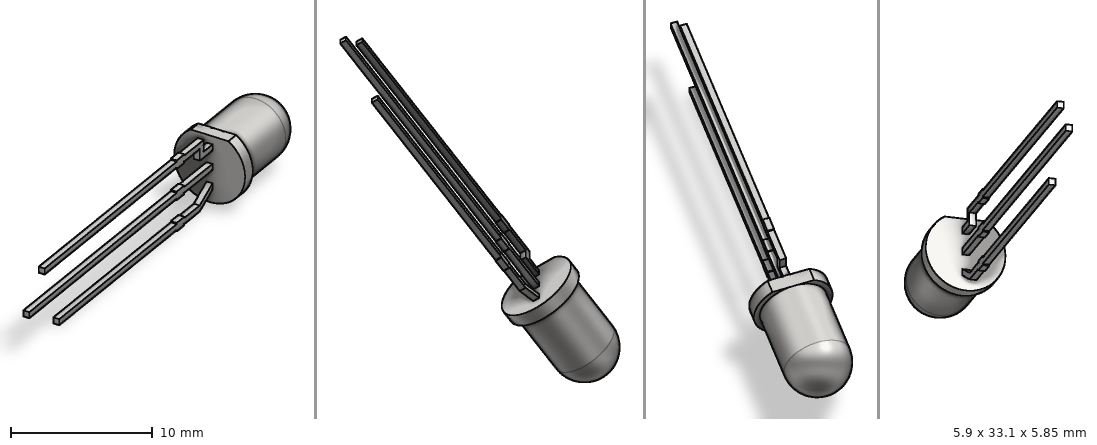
import cadquery as cq


lens_diameter = 5.0
lens_radius = lens_diameter / 2
flange_radius = 2.95
flange_thickness = 1.03
overall_length = 33.1
body_length = 8.6
dome_start = body_length - lens_radius

lead_size = 0.5
lead_pitch = 2.55
root_offset = 1.6
middle_lead_length = overall_length - body_length
upper_lead_length = 22.45
lower_lead_length = 20.5
crank_end = 1.7
bend_end = 1.72

swell_start = 3.77
swell_length = 1.03
swell_height = 0.7


def make_body():
    """Domed lens turned about Y, with a flange flattened level with the top of the lens."""
    lens = (
        cq.Workplane("XY")
        .lineTo(lens_radius, 0)
        .lineTo(lens_radius, dome_start)
        .radiusArc((0, body_length), -lens_radius)
        .close()
        .revolve(360, (0, 0, 0), (0, 1, 0))
    )
    flange = cq.Workplane("XZ").circle(flange_radius).extrude(-flange_thickness)
    flange_trim = cq.Workplane("XY").box(
        2 * flange_radius, flange_thickness, flange_radius, centered=(True, False, False)
    ).translate((0, 0, lens_radius))
    return lens.union(flange.cut(flange_trim))


def lead_bar(start, end, height, depth=lead_size):
    """Straight bar along -Y between two distances from the flange, centred on a height along Z."""
    return cq.Workplane("XY").box(lead_size, end - start, depth).translate(
        (0, -(start + end) / 2, height)
    )


def straight_lead(start, end, height):
    """Straight stretch of a lead together with its swell."""
    swell = lead_bar(swell_start, swell_start + swell_length, height, swell_height)
    return lead_bar(start, end, height).union(swell)


def upper_lead():
    """Lead that steps squarely outward to the pitch height."""
    crank_start = crank_end - lead_size
    root = lead_bar(0, crank_end, root_offset)
    riser_centre = (root_offset + lead_pitch) / 2
    riser_depth = lead_pitch - root_offset + lead_size
    riser = lead_bar(crank_start, crank_end, riser_centre, riser_depth)
    return root.union(riser).union(straight_lead(crank_start, upper_lead_length, lead_pitch))


def lower_lead():
    """Lead that slopes outward to the pitch height."""
    half = lead_size / 2
    slope = (
        cq.Workplane("YZ")
        .polyline([
            (0, half - root_offset),
            (-bend_end, half - lead_pitch),
            (-bend_end, -half - lead_pitch),
            (0, -half - root_offset),
        ])
        .close()
        .extrude(half, both=True)
    )
    return slope.union(straight_lead(bend_end, lower_lead_length, -lead_pitch))


result = make_body()
for lead in (upper_lead(), straight_lead(0, middle_lead_length, 0), lower_lead()):
    result = result.union(lead)